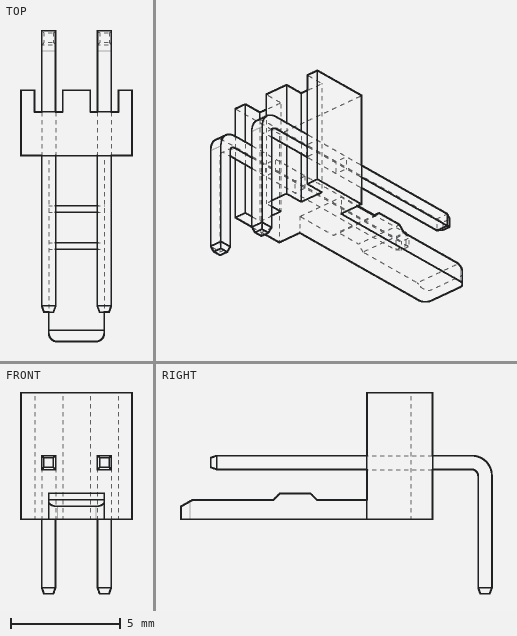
import cadquery as cq

OVERALL_LENGTH = 14.22
OVERALL_HEIGHT = 9.2
PITCH = 2.55
PIN_COUNT = 2
PIN_XS = [(i - (PIN_COUNT - 1) / 2) * PITCH for i in range(PIN_COUNT)]

BLOCK_WIDTH = 5.08
BLOCK_DEPTH = 3.0
BLOCK_HEIGHT = 5.8
SLOT_WIDTH = 1.28
SLOT_DEPTH = 1.0

TAB_WIDTH = PITCH
TAB_LENGTH = 8.5
TAB_THICKNESS = 0.9
TAB_CORNER_RADIUS = 0.4
TAB_BEVEL_LENGTH = 0.53
TAB_BEVEL_DROP = 0.3
BUMP_START = 2.29
BUMP_LENGTH = 1.99
BUMP_HEIGHT = 0.3

PIN_SIZE = 0.64
PIN_AXIS_Z = 2.6
PIN_FRONT_REACH = 7.15
PIN_BACK_REACH = OVERALL_LENGTH - TAB_LENGTH
PIN_TAIL_DROP = OVERALL_HEIGHT - BLOCK_HEIGHT
BEND_OUTER_RADIUS = 0.92
BEND_INNER_RADIUS = BEND_OUTER_RADIUS - PIN_SIZE
TIP_LENGTH = 0.28
TIP_SIZE = 0.44


def make_block():
    """Block with a full-height slot in its back face behind each pin."""
    block = cq.Workplane("XY").box(BLOCK_WIDTH, BLOCK_DEPTH, BLOCK_HEIGHT, centered=(True, False, False))
    slots = (
        cq.Workplane("XY")
        .pushPoints([(x, BLOCK_DEPTH - SLOT_DEPTH / 2) for x in PIN_XS])
        .rect(SLOT_WIDTH, SLOT_DEPTH)
        .extrude(BLOCK_HEIGHT)
    )
    return block.cut(slots)


def make_tab():
    """Flat tab with a raised latch bump, a beveled end and rounded end corners."""
    bump_end = BUMP_START + BUMP_LENGTH
    bump_top = TAB_THICKNESS + BUMP_HEIGHT
    profile = [
        (0, 0),
        (0, TAB_THICKNESS),
        (-BUMP_START, TAB_THICKNESS),
        (-BUMP_START - BUMP_HEIGHT, bump_top),
        (-bump_end + BUMP_HEIGHT, bump_top),
        (-bump_end, TAB_THICKNESS),
        (-TAB_LENGTH + TAB_BEVEL_LENGTH, TAB_THICKNESS),
        (-TAB_LENGTH, TAB_THICKNESS - TAB_BEVEL_DROP),
        (-TAB_LENGTH, 0),
    ]
    tab = cq.Workplane("YZ").polyline(profile).close().extrude(TAB_WIDTH / 2, both=True)
    return tab.faces("<Y").edges("|Z").fillet(TAB_CORNER_RADIUS)


def make_pin(x):
    """Square pin bent down at the back, with both ends tapered."""
    top_z = PIN_AXIS_Z + PIN_SIZE / 2
    front_shoulder_y = -PIN_FRONT_REACH + TIP_LENGTH
    tail_shoulder_z = -PIN_TAIL_DROP + TIP_LENGTH
    tail_axis_y = PIN_BACK_REACH - PIN_SIZE / 2

    shank = (
        cq.Workplane("YZ", origin=(x, 0, 0))
        .moveTo(front_shoulder_y, top_z)
        .lineTo(PIN_BACK_REACH - BEND_OUTER_RADIUS, top_z)
        .radiusArc((PIN_BACK_REACH, top_z - BEND_OUTER_RADIUS), BEND_OUTER_RADIUS)
        .lineTo(PIN_BACK_REACH, tail_shoulder_z)
        .lineTo(PIN_BACK_REACH - PIN_SIZE, tail_shoulder_z)
        .lineTo(PIN_BACK_REACH - PIN_SIZE, top_z - BEND_OUTER_RADIUS)
        .radiusArc((PIN_BACK_REACH - BEND_OUTER_RADIUS, top_z - PIN_SIZE), -BEND_INNER_RADIUS)
        .lineTo(front_shoulder_y, top_z - PIN_SIZE)
        .close()
        .extrude(PIN_SIZE / 2, both=True)
    )
    front_tip = make_tip(cq.Workplane("XZ", origin=(x, front_shoulder_y, PIN_AXIS_Z)))
    tail_tip = make_tip(cq.Workplane(cq.Plane((x, tail_axis_y, tail_shoulder_z), (1, 0, 0), (0, 0, -1))))
    return shank.union(front_tip).union(tail_tip)


def make_tip(shoulder):
    """Tapered pin end standing on the given shoulder plane."""
    return (
        shoulder.rect(PIN_SIZE, PIN_SIZE)
        .workplane(offset=TIP_LENGTH)
        .rect(TIP_SIZE, TIP_SIZE)
        .loft(ruled=True)
    )


pins = [make_pin(x) for x in PIN_XS]

housing = make_block().union(make_tab())
for pin in pins:
    housing = housing.cut(pin)

result = cq.Compound.makeCompound([housing.solids().val(), *[pin.solids().val() for pin in pins]])